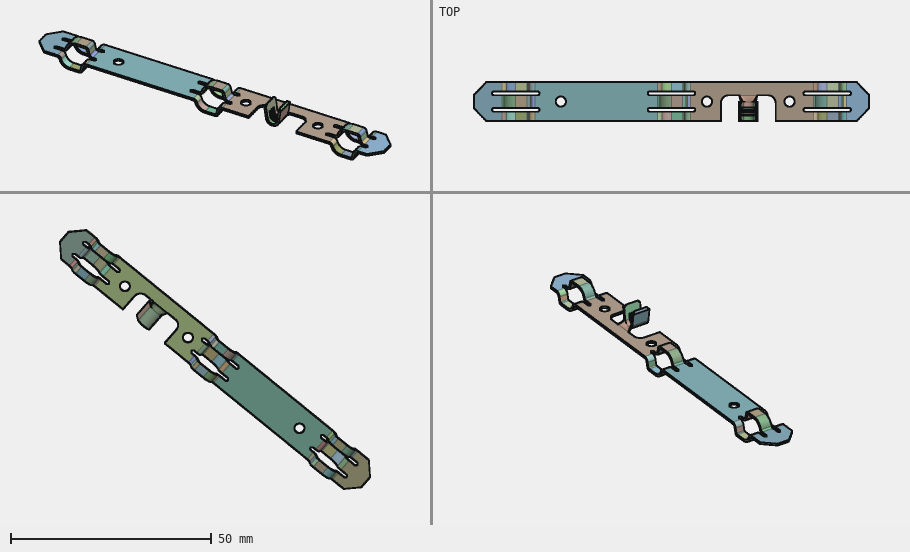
import cadquery as cq
import math

LENGTH = 98.55
WIDTH = 9.78
HEIGHT = 8.34
THICKNESS = 0.6
HALF_THICKNESS = THICKNESS / 2
HALF_WIDTH = WIDTH / 2

END_CHAMFER_X = 3.1
END_CHAMFER_Y = 3.2

SOCKET_PITCH = 38.85
SOCKET_CENTRES = (-SOCKET_PITCH, 0.0, SOCKET_PITCH)
SLOT_LENGTH = 11.8
SLOT_WIDTH = 0.9
MIDDLE_STRAP_WIDTH = 3.2
SLOT_OFFSET = (MIDDLE_STRAP_WIDTH + SLOT_WIDTH) / 2

STRAP_HEIGHT = 2.65
STRAP_FOLD_LEFT = -3.5
STRAP_ARC_CENTRE = -0.1
STRAP_CORNER_X = 3.2
STRAP_FOOT_X = 3.85
STRAP_FOLD_RIGHT = 4.7
STRAP_CORNER_RADIUS = 0.6

NOTCH_CENTRE = 19.15
NOTCH_WIDTH = 13.6
NOTCH_TOP_Y = 1.55
NOTCH_RADIUS = 1.9

HOLE_DIAMETER = 2.5
HOLE_SPACING = 20.6
HOLE_POSITIONS = (-27.6, NOTCH_CENTRE - HOLE_SPACING / 2, NOTCH_CENTRE + HOLE_SPACING / 2)

CLIP_BACK_Y = -0.06
CLIP_TOP_Z = HEIGHT - STRAP_HEIGHT - HALF_THICKNESS
CLIP_RADIUS = 1.6
CLIP_FLARE = math.radians(8)
CLIP_OUTER_RADIUS = CLIP_RADIUS + HALF_THICKNESS
CLIP_INNER_RADIUS = CLIP_RADIUS - HALF_THICKNESS
TIP_BEVEL = 0.65
TIP_LAND = 0.1

GROOVE_COUNT = 3
GROOVE_PITCH = 0.85
GROOVE_WIDTH = 0.45
GROOVE_DEPTH = 0.12
GROOVE_TOP_Z = 2.7


def rounded_corner(before, corner, after, radius):
    """Start, middle and end points of an arc rounding a corner in the XZ plane."""
    corner_v = cq.Vector(*corner)
    to_before = (cq.Vector(*before) - corner_v).normalized()
    to_after = (cq.Vector(*after) - corner_v).normalized()
    half_angle = to_before.getAngle(to_after) / 2
    setback = radius / math.tan(half_angle)
    bisector = (to_before + to_after).normalized()
    start = corner_v + to_before * setback
    middle = corner_v + bisector * (radius / math.sin(half_angle) - radius)
    end = corner_v + to_after * setback
    return [(point.x, point.y) for point in (start, middle, end)]


def on_circle(centre, radius, angle):
    """Point on a circle at an angle from the horizontal axis."""
    return (centre[0] + radius * math.cos(angle), centre[1] + radius * math.sin(angle))


def strip():
    """Flat strip with pointed ends."""
    half_length = LENGTH / 2
    shoulder_x = half_length - END_CHAMFER_X
    tip_y = HALF_WIDTH - END_CHAMFER_Y
    outline = [
        (-half_length, -tip_y),
        (-shoulder_x, -HALF_WIDTH),
        (shoulder_x, -HALF_WIDTH),
        (half_length, -tip_y),
        (half_length, tip_y),
        (shoulder_x, HALF_WIDTH),
        (-shoulder_x, HALF_WIDTH),
        (-half_length, tip_y),
    ]
    return cq.Workplane("XY").workplane(offset=-HALF_THICKNESS).polyline(outline).close().extrude(THICKNESS)


def screw_holes():
    """Round holes along the centreline of the strip."""
    points = [(x, 0) for x in HOLE_POSITIONS]
    return cq.Workplane("XY").pushPoints(points).circle(HOLE_DIAMETER / 2).extrude(THICKNESS, both=True)


def notch():
    """Notch open to the front edge, with its two back corners rounded."""
    depth = HALF_WIDTH + NOTCH_TOP_Y
    return (
        cq.Workplane("XY")
        .center(NOTCH_CENTRE, NOTCH_TOP_Y - depth / 2)
        .rect(NOTCH_WIDTH, depth)
        .extrude(THICKNESS, both=True)
        .edges("|Z and >Y")
        .fillet(NOTCH_RADIUS)
    )


def socket_opening(socket_x):
    """Clearance through the strip where the straps are bowed out, plus the two slots."""
    span = STRAP_FOLD_RIGHT - STRAP_FOLD_LEFT
    middle_x = socket_x + (STRAP_FOLD_RIGHT + STRAP_FOLD_LEFT) / 2
    bowed_length = cq.Workplane("XY").center(middle_x, 0).rect(span, WIDTH).extrude(THICKNESS, both=True)
    slots = (
        cq.Workplane("XY")
        .pushPoints([(socket_x, -SLOT_OFFSET), (socket_x, SLOT_OFFSET)])
        .slot2D(SLOT_LENGTH, SLOT_WIDTH)
        .extrude(THICKNESS, both=True)
    )
    return bowed_length.union(slots)


def strap(socket_x, y_min, y_max, side):
    """Strap bowed up (side = 1) or down (side = -1): a quarter round, a flat and a steep return."""
    arc_centre = (STRAP_ARC_CENTRE, 0)
    fold_run = STRAP_ARC_CENTRE - STRAP_FOLD_LEFT
    fold_radius = (fold_run**2 - STRAP_HEIGHT**2) / (2 * STRAP_HEIGHT)
    fold_centre = (STRAP_FOLD_LEFT, fold_radius)
    meet_angle = math.atan2(fold_radius, -fold_run)
    fold_middle_angle = (meet_angle - math.pi - math.pi / 2) / 2
    arc_middle_angle = (meet_angle + math.pi / 2) / 2

    arc_top = (STRAP_ARC_CENTRE, STRAP_HEIGHT)
    corner = (STRAP_CORNER_X, STRAP_HEIGHT)
    foot = (STRAP_FOOT_X, 0)
    end = (STRAP_FOLD_RIGHT + HALF_THICKNESS, 0)
    corner_arc = rounded_corner(arc_top, corner, foot, STRAP_CORNER_RADIUS)
    return_angle = math.atan2(STRAP_HEIGHT, STRAP_CORNER_X - STRAP_FOOT_X)
    foot_radius = (STRAP_FOLD_RIGHT - STRAP_FOOT_X) * math.tan(return_angle / 2)
    foot_arc = rounded_corner(corner, foot, end, foot_radius)

    def placed(point):
        return (socket_x + point[0], side * point[1])

    centreline = (
        cq.Workplane("XZ", origin=(0, y_max, 0))
        .moveTo(*placed((STRAP_FOLD_LEFT - HALF_THICKNESS, 0)))
        .lineTo(*placed((STRAP_FOLD_LEFT, 0)))
        .threePointArc(
            placed(on_circle(fold_centre, fold_radius, fold_middle_angle)),
            placed(on_circle(arc_centre, STRAP_HEIGHT, meet_angle)),
        )
        .threePointArc(placed(on_circle(arc_centre, STRAP_HEIGHT, arc_middle_angle)), placed(arc_top))
        .lineTo(*placed(corner_arc[0]))
        .threePointArc(placed(corner_arc[1]), placed(corner_arc[2]))
        .lineTo(*placed(foot_arc[0]))
        .threePointArc(placed(foot_arc[1]), placed(foot_arc[2]))
        .lineTo(*placed(end))
    )
    return centreline.offset2D(HALF_THICKNESS).extrude(y_max - y_min)


def socket_straps(socket_x):
    """The middle strap bowed up and the two outer straps bowed down."""
    half_middle = MIDDLE_STRAP_WIDTH / 2
    outer_start = half_middle + SLOT_WIDTH
    return (
        strap(socket_x, -half_middle, half_middle, 1)
        .union(strap(socket_x, outer_start, HALF_WIDTH, -1))
        .union(strap(socket_x, -HALF_WIDTH, -outer_start, -1))
    )


def clip_bend_end(radius):
    """Right-hand end of a clip bend arc, where the straight flared wall begins."""
    return on_circle((0, CLIP_RADIUS), radius, -CLIP_FLARE)


def clip_wall_point(radius, height):
    """Point at a height on the straight wall that continues a clip arc of the given radius."""
    wall_x, wall_z = clip_bend_end(radius)
    return (wall_x + (height - wall_z) * math.tan(CLIP_FLARE), height)


def clip_barrel():
    """Open U-shaped barrel whose wall tips are bevelled outside and at both ends."""
    outer_end = clip_bend_end(CLIP_OUTER_RADIUS)
    inner_end = clip_bend_end(CLIP_INNER_RADIUS)
    bevel_start = clip_wall_point(CLIP_OUTER_RADIUS, CLIP_TOP_Z - TIP_BEVEL)
    inner_top = clip_wall_point(CLIP_INNER_RADIUS, CLIP_TOP_Z)
    right_wall = [outer_end, bevel_start, (inner_top[0] + TIP_LAND, CLIP_TOP_Z), inner_top, inner_end]
    left_wall = [(-x, z) for x, z in reversed(right_wall)]
    section = (
        cq.Workplane("XZ", origin=(NOTCH_CENTRE, CLIP_BACK_Y, 0))
        .polyline(right_wall)
        .threePointArc((0, HALF_THICKNESS), left_wall[0])
    )
    for point in left_wall[1:]:
        section = section.lineTo(*point)
    barrel = section.threePointArc((0, -HALF_THICKNESS), outer_end).close().extrude(CLIP_BACK_Y + HALF_WIDTH)

    side_outline = [
        (-HALF_WIDTH, -HALF_THICKNESS),
        (CLIP_BACK_Y, -HALF_THICKNESS),
        (CLIP_BACK_Y, CLIP_TOP_Z - TIP_BEVEL),
        (CLIP_BACK_Y - TIP_BEVEL, CLIP_TOP_Z),
        (-HALF_WIDTH + TIP_BEVEL, CLIP_TOP_Z),
        (-HALF_WIDTH, CLIP_TOP_Z - TIP_BEVEL),
    ]
    envelope = (
        cq.Workplane("YZ", origin=(NOTCH_CENTRE, 0, 0))
        .polyline(side_outline)
        .close()
        .extrude(NOTCH_WIDTH / 2, both=True)
    )
    return barrel.intersect(envelope)


def clip_grooves():
    """Shallow grooves running across the bend and part way up both inner walls."""
    radius = CLIP_INNER_RADIUS + GROOVE_DEPTH
    arc_end = clip_bend_end(radius)
    top = clip_wall_point(radius, GROOVE_TOP_Z)
    middle_y = (CLIP_BACK_Y - HALF_WIDTH) / 2
    grooves = cq.Workplane("XY")
    for index in range(GROOVE_COUNT):
        offset = (index - (GROOVE_COUNT - 1) / 2) * GROOVE_PITCH
        groove = (
            cq.Workplane("XZ", origin=(NOTCH_CENTRE, middle_y + offset + GROOVE_WIDTH / 2, 0))
            .moveTo(-top[0], top[1])
            .lineTo(-arc_end[0], arc_end[1])
            .threePointArc((0, CLIP_RADIUS - radius), arc_end)
            .lineTo(*top)
            .close()
            .extrude(GROOVE_WIDTH)
        )
        grooves = grooves.add(groove)
    return grooves.combine()


def neck():
    """Neck that rolls up from the flat strip into the bend of the clip."""
    outer_end = clip_bend_end(CLIP_OUTER_RADIUS)
    inner_end = clip_bend_end(CLIP_INNER_RADIUS)
    half_flat = CLIP_RADIUS * (math.pi / 2 - CLIP_FLARE)

    bend = (
        cq.Workplane("XZ", origin=(NOTCH_CENTRE, CLIP_BACK_Y, 0))
        .moveTo(-outer_end[0], outer_end[1])
        .threePointArc((0, -HALF_THICKNESS), outer_end)
        .lineTo(*inner_end)
        .threePointArc((0, HALF_THICKNESS), (-inner_end[0], inner_end[1]))
        .close()
    )
    flat = (
        cq.Workplane("XZ", origin=(NOTCH_CENTRE, NOTCH_TOP_Y, 0))
        .moveTo(-half_flat, -HALF_THICKNESS)
        .lineTo(half_flat, -HALF_THICKNESS)
        .lineTo(half_flat, HALF_THICKNESS)
        .lineTo(-half_flat, HALF_THICKNESS)
        .close()
    )
    flat_wire = flat.val()
    bend_wire = bend.val()
    faces = [cq.Face.makeFromWires(flat_wire), cq.Face.makeFromWires(bend_wire)]
    for flat_edge, bend_edge in zip(flat_wire.Edges(), bend_wire.Edges()):
        faces.append(cq.Face.makeRuledSurface(flat_edge, bend_edge))
    return cq.Workplane(obj=cq.Solid.makeSolid(cq.Shell.makeShell(faces)))


def build():
    """Whole part: pierced strip, tube sockets and crimp clip."""
    part = strip().cut(screw_holes()).cut(notch())
    for socket_x in SOCKET_CENTRES:
        part = part.cut(socket_opening(socket_x))
    for socket_x in SOCKET_CENTRES:
        part = part.union(socket_straps(socket_x))
    return part.union(neck()).union(clip_barrel()).cut(clip_grooves())


result = build()